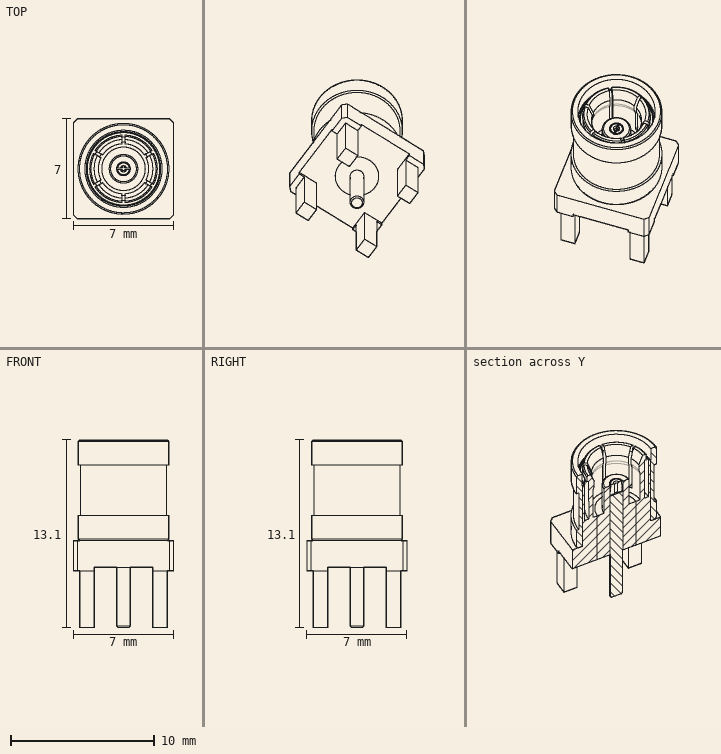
import cadquery as cq
total_height = 13.1
standoff_z = 3.96
base_underside_z = 4.2
base_top_z = 6.08
socket_floor_z = 8.5
slot_floor_z = 9.0
boss_top_z = 10.95
barrel_top_z = 12.05
spring_rim_z = 12.74

base_width = 7.0
base_corner_chamfer = 0.28
leg_width = 1.04
leg_center = 2.55
pad_inner_edge = leg_center - leg_width / 2

collar_diameter = 6.35
waist_diameter = 6.02
collar_length = 1.75
collar_chamfer = 0.1
sleeve_bore = 5.4

barrel_bore = 5.06
barrel_chamfer = 0.1
spring_diameter = 4.44
spring_bore = 3.72
lip_diameter = 4.72
lip_chamfer = 0.09
lip_length = 0.6
funnel_mouth = 4.1
throat_diameter = 3.5
throat_top_z = 11.96
throat_bottom_z = 11.42
relief_bottom_z = 11.07
slot_width = 0.22
slot_count = 6

insulator_diameter = 3.04
boss_diameter = 2.0
boss_chamfer = 0.1
pin_diameter = 0.96
pin_chamfer = 0.1
pin_hole = 0.25
pin_hole_depth = 1.0
pin_hole_mouth = 0.44
pin_hole_taper = 0.1
pin_slit_width = 0.09
pin_tip_diameter = 0.82
pin_tip_length = 0.7


def cylinder(diameter, bottom_z, top_z):
    """Upright cylinder on the Z axis."""
    return cq.Workplane("XY").workplane(offset=bottom_z).circle(diameter / 2).extrude(top_z - bottom_z)


def revolve_profile(points):
    """Revolve (radius, height) points around the Z axis."""
    return cq.Workplane("XZ").polyline(points).close().revolve(360, (0, 0), (0, 1))


def make_base_block():
    """Square block with corner standoff pads and four legs."""
    block = (
        cq.Workplane("XY").workplane(offset=standoff_z)
        .rect(base_width, base_width).extrude(base_top_z - standoff_z)
        .edges("|Z").chamfer(base_corner_chamfer)
    )
    recess_depth = base_underside_z - standoff_z
    recess_width = 2 * pad_inner_edge
    for size_x, size_y in ((recess_width, base_width), (base_width, recess_width)):
        channel = cq.Workplane("XY").workplane(offset=standoff_z).rect(size_x, size_y).extrude(recess_depth)
        block = block.cut(channel)
    legs = (
        cq.Workplane("XY").rect(2 * leg_center, 2 * leg_center, forConstruction=True).vertices()
        .rect(leg_width, leg_width).extrude(standoff_z)
    )
    return block.union(legs)


def make_spring_socket():
    """Barrel that fits the sleeve bore, with a slotted spring tube standing inside it."""
    barrel = cylinder(sleeve_bore, base_top_z, barrel_top_z).faces(">Z").chamfer(barrel_chamfer)
    barrel = barrel.cut(cylinder(barrel_bore, socket_floor_z, barrel_top_z))
    spring = revolve_profile([
        (spring_bore / 2, socket_floor_z),
        (spring_diameter / 2, socket_floor_z),
        (spring_diameter / 2, spring_rim_z - lip_length),
        (lip_diameter / 2, spring_rim_z - lip_length),
        (lip_diameter / 2, spring_rim_z - lip_chamfer),
        (lip_diameter / 2 - lip_chamfer, spring_rim_z),
        (funnel_mouth / 2, spring_rim_z),
        (throat_diameter / 2, throat_top_z),
        (throat_diameter / 2, throat_bottom_z),
        (spring_bore / 2, relief_bottom_z),
    ])
    slot_height = spring_rim_z - slot_floor_z
    slot = cq.Workplane("XY").box(slot_width, lip_diameter, slot_height, centered=(True, True, False))
    slot = slot.translate((0, 0, slot_floor_z))
    for index in range(slot_count // 2):
        spring = spring.cut(slot.rotate((0, 0, 0), (0, 0, 1), index * 360 / slot_count))
    return barrel.union(spring)


def make_base():
    """Base block and spring socket in one piece, bored for the insulator."""
    bore = cylinder(insulator_diameter, base_underside_z, socket_floor_z)
    return make_base_block().union(make_spring_socket()).cut(bore)


def make_sleeve():
    """Tube with a collar at each end, pressed over the barrel."""
    lower_collar = cylinder(collar_diameter, base_top_z, base_top_z + collar_length)
    lower_collar = lower_collar.faces("<Z").chamfer(collar_chamfer)
    upper_collar = cylinder(collar_diameter, total_height - collar_length, total_height)
    upper_collar = upper_collar.faces(">Z").chamfer(collar_chamfer)
    waist = cylinder(waist_diameter, base_top_z + collar_length, total_height - collar_length)
    bore = cylinder(sleeve_bore, base_top_z, total_height)
    return lower_collar.union(waist).union(upper_collar).cut(bore)


def make_insulator():
    """Plug that fills the base bore, with a boss around the pin."""
    plug = cylinder(insulator_diameter, base_underside_z, socket_floor_z)
    boss = cylinder(boss_diameter, socket_floor_z, boss_top_z).faces(">Z").chamfer(boss_chamfer)
    return plug.union(boss).cut(cylinder(pin_diameter, 0, boss_top_z))


def make_pin():
    """Centre pin with a tapered, slit upper end and a small hole in it."""
    pin = revolve_profile([
        (0, 0),
        (pin_diameter / 2 - pin_chamfer, 0),
        (pin_diameter / 2, pin_chamfer),
        (pin_diameter / 2, boss_top_z - pin_tip_length),
        (pin_tip_diameter / 2, boss_top_z),
        (0, boss_top_z),
    ])
    hole_floor_z = boss_top_z - pin_hole_depth
    hole = revolve_profile([
        (0, hole_floor_z),
        (pin_hole / 2, hole_floor_z),
        (pin_hole / 2, boss_top_z - pin_hole_taper),
        (pin_hole_mouth / 2, boss_top_z),
        (0, boss_top_z),
    ])
    slit = cq.Workplane("XY").box(pin_diameter, pin_slit_width, pin_hole_depth, centered=(True, True, False))
    return pin.cut(hole).cut(slit.translate((0, 0, hole_floor_z)))


base = make_base()
sleeve = make_sleeve()
insulator = make_insulator()
pin = make_pin()

result = cq.Compound.makeCompound([base.val(), sleeve.val(), insulator.val(), pin.val()])